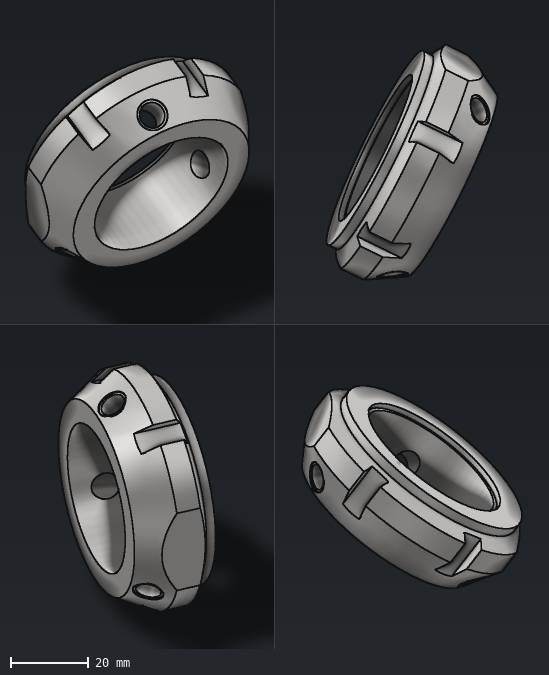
import cadquery as cq
import math

total_length = 22.0
outer_radius = 32.4
flat_distance = 30.0

collar_length = 2.6
collar_radius = 56.0 / 2
front_flank_angle = 60.0
rear_flank_angle = 30.0
band_end = 11.65

bore_radius = 40.0 / 2
recess_radius = 42.0 / 2
recess_depth = 1.55

slot_width = 6.0
slot_floor = 29.45
slot_angles = (30, 150, 210, 330)

screw_count = 3
screw_hole_radius = 6.7 / 2
counterbore_radius = 8.1 / 2
counterbore_depth = 0.5
screw_x = 17.7

band_start = collar_length + (outer_radius - collar_radius) / math.tan(math.radians(front_flank_angle))
rear_slope = math.tan(math.radians(rear_flank_angle))
rear_radius = outer_radius - (total_length - band_end) * rear_slope


def make_body():
    """Revolve the half section about the X axis, bore included."""
    return (
        cq.Workplane("XZ")
        .moveTo(0, recess_radius)
        .lineTo(0, collar_radius)
        .lineTo(collar_length, collar_radius)
        .lineTo(band_start, outer_radius)
        .lineTo(band_end, outer_radius)
        .lineTo(total_length, rear_radius)
        .lineTo(total_length, bore_radius)
        .lineTo(recess_depth, bore_radius)
        .lineTo(recess_depth, recess_radius)
        .close()
        .revolve(360, (0, 0, 0), (1, 0, 0))
    )


def about_axis(shape, angle):
    """Turn a shape about the nut axis."""
    return shape.rotate((0, 0, 0), (1, 0, 0), angle)


def make_flat_envelope():
    """Block whose Y faces are the two wrench flats."""
    return cq.Workplane("XY").box(total_length, 2 * flat_distance, 2 * outer_radius,
                                  centered=(False, True, True))


def make_slot():
    """Spanner slot cutter above the +Z side."""
    return (
        cq.Workplane("XY")
        .workplane(offset=slot_floor)
        .rect(2 * total_length, slot_width)
        .extrude(outer_radius)
    )


def make_screw_hole():
    """Tilted set-screw hole on the +Z side, with a shallow counterbore."""
    flank_radius = outer_radius - (screw_x - band_end) * rear_slope
    tilt = math.radians(rear_flank_angle)
    mouth = cq.Vector(screw_x, 0, flank_radius)
    inward = cq.Vector(-math.sin(tilt), 0, -math.cos(tilt))
    clearance = 0.65
    start = mouth - inward * clearance
    hole = cq.Solid.makeCylinder(screw_hole_radius, flank_radius, start, inward)
    counterbore = cq.Solid.makeCylinder(counterbore_radius, counterbore_depth + clearance, start, inward)
    return cq.Workplane(hole).union(cq.Workplane(counterbore))


result = make_body().intersect(make_flat_envelope())
for angle in slot_angles:
    result = result.cut(about_axis(make_slot(), angle))
for index in range(screw_count):
    result = result.cut(about_axis(make_screw_hole(), index * 360 / screw_count))